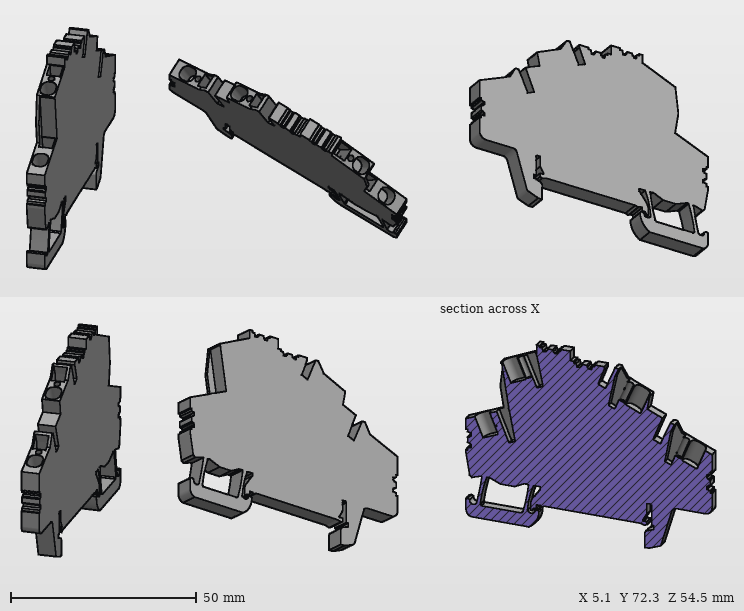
import cadquery as cq
import math

LENGTH = 72.35
WIDTH = 5.1
X_MIN = -WIDTH / 2
X_MAX = WIDTH / 2
Y_END = LENGTH / 2

LABEL_TOP = 54.5
SHELF_TOP = 51.65
SIDE_COMB_Z = 22.7
RAIL_SEAT_Z = 6.95
BODY_BOTTOM = 13.2
BOTTOM_CORNER_RADIUS = 2.1

COMB_HALF = 3.05
COMB_STEP = 0.5
GROOVE_DEPTH = 1.5
GROOVE_MOUTH = (0.8, 2.3)
GROOVE_FLOOR = (1.4, 2.1)
GROOVE_BEVEL = 0.4
GROOVE_RELIEF_LENGTH = 0.4
GROOVE_RELIEF_BEVEL = 0.2
GROOVE_RELIEF_DEPTH = 0.1

UPPER_COMB = ((-11.35, LABEL_TOP), (0, -1), (1, 0))
LOWER_COMB = ((-1.4, SHELF_TOP), (0, -1), (1, 0))
LEFT_COMB = ((Y_END, SIDE_COMB_Z), (-1, 0), (0, 1))
RIGHT_COMB = ((-Y_END, SIDE_COMB_Z), (1, 0), (0, 1))
COMBS = (UPPER_COMB, LOWER_COMB, LEFT_COMB, RIGHT_COMB)

LEFT_LOW_SLOPE = ((Y_END, 31.2), (26.55, 35.15))
LEFT_HIGH_SLOPE = ((17.95, 45.35), (10.5, 48.6))
RIGHT_HIGH_SLOPE = ((-25.8, 47.5), (-15.4, 52.0))
RIGHT_LOW_SLOPE = ((-Y_END, 28.95), (-25.75, 33.3))

LOW_RIDGE_TOP = (24.8, 38.3)
HIGH_RIDGE_TOP = (8.55, 51.8)
RIDGE_RADIUS = 0.6

FUNNEL_WIDTH = 4.2
FUNNEL_LENGTH = 4.6
FUNNEL_CORNER = 1.75
FUNNEL_DEPTH = 6.4
TEST_HOLE_OFFSET = 3.55
TEST_HOLE_DIAMETER = 1.7
TEST_HOLE_DEPTH = 6.15
POCKET_START = 4.6
POCKET_END = 8.25
POCKET_X_MIN = -1.7
POCKET_X_MAX = 2.1
POCKET_MOUTH = 0.7
POCKET_DEPTH = 9.4
POCKET_TAPER = 11.5
POCKET_RISE = 3.6

PORTS = (
    (LEFT_LOW_SLOPE, 31.9, True, True),
    (LEFT_HIGH_SLOPE, 15.5, True, True),
    (RIGHT_HIGH_SLOPE, -23.2, True, False),
    (RIGHT_LOW_SLOPE, -31.3, False, False),
)

RECESS_X_MIN = POCKET_X_MIN
RECESS_TOP = (-25.7, 47.2)
RECESS_FOOT_Y = -23.6
RECESS_OUTSIDE_Y = -27.5


def prism(workplane, x_min, x_max):
    """Extrude a closed YZ outline, drawn on the plane X = 0, from x_min to x_max."""
    return workplane.extrude(x_max - x_min).translate((x_min, 0, 0))


def polygon(points, x_min=X_MIN, x_max=X_MAX):
    return prism(cq.Workplane("YZ").polyline(points).close(), x_min, x_max)


def upper_outline():
    """Body above the rail: ridges, slots, marking blocks and port slopes."""
    points = [
        (Y_END, BODY_BOTTOM),
        *LEFT_LOW_SLOPE,
        LOW_RIDGE_TOP, (23.8, 38.3),
        (20.9, 31.75), (18.9, 32.6),
        (21.6, 39.4), (17.15, 41.3),
        *LEFT_HIGH_SLOPE,
        HIGH_RIDGE_TOP, (7.6, 51.8),
        (4.8, 45.3), (2.75, 46.15),
        (4.55, 50.8), (4.55, SHELF_TOP),
        (-5.4, SHELF_TOP), (-5.4, LABEL_TOP),
        (-15.4, LABEL_TOP),
        *reversed(RIGHT_HIGH_SLOPE),
        (-26.8, 39.6),
        *reversed(RIGHT_LOW_SLOPE),
        (-Y_END, 18.75), (-35.1, 12.3),
        (-34.4, 11.7), (-32.0, 12.45),
        (-29.5, 12.65), (-25.9, 11.2), (-21.85, 11.2), (-19.25, 12.45),
        (-16.2, BODY_BOTTOM),
    ]
    body = polygon(points)
    body = body.edges("|X").edges(">Y").edges("<Z").fillet(BOTTOM_CORNER_RADIUS)
    for y, z in (LOW_RIDGE_TOP, HIGH_RIDGE_TOP):
        body = body.edges(cq.NearestToPointSelector((0, y, z))).fillet(RIDGE_RADIUS)
    return body


def rail_block():
    """Middle part that sits on the rail, with a small lip on the left and a tongue on the right."""
    outline = (
        cq.Workplane("YZ")
        .moveTo(17.0, BODY_BOTTOM)
        .lineTo(17.0, 10.05)
        .lineTo(15.85, 8.1)
        .lineTo(16.1, 7.9)
        .lineTo(17.0, 7.9)
        .lineTo(17.0, 6.9)
        .lineTo(16.35, 6.6)
        .lineTo(15.1, RAIL_SEAT_Z)
        .lineTo(-13.1, RAIL_SEAT_Z)
        .lineTo(-13.95, 6.6)
        .lineTo(-14.4, RAIL_SEAT_Z)
        .lineTo(-15.35, RAIL_SEAT_Z)
        .lineTo(-15.35, 5.9)
        .lineTo(-16.3, 5.85)
        .lineTo(-16.65, 5.1)
        .lineTo(-17.2, 5.1)
        .lineTo(-17.2, 7.0)
        .threePointArc((-16.9, 8.25), (-16.35, 9.2))
        .lineTo(-14.4, 11.8)
        .lineTo(-14.4, BODY_BOTTOM)
        .close()
    )
    return prism(outline, X_MIN, X_MAX)


def fixed_foot():
    """Rigid hook on the +Y side; the slot beside it ends in rounded corners."""
    outline = (
        cq.Workplane("YZ")
        .moveTo(25.5, BODY_BOTTOM)
        .threePointArc((24.8, 12.9), (24.4, 12.3))
        .lineTo(21.3, 1.9)
        .threePointArc((21.05, 1.45), (20.7, 1.15))
        .lineTo(17.65, 0)
        .lineTo(16.35, 0)
        .lineTo(16.35, 4.05)
        .threePointArc((16.5, 4.8), (17.0, 5.2))
        .lineTo(18.95, 5.9)
        .lineTo(18.95, RAIL_SEAT_Z)
        .lineTo(18.3, RAIL_SEAT_Z)
        .lineTo(18.3, 12.8)
        .lineTo(17.95, BODY_BOTTOM)
        .close()
    )
    return prism(outline, X_MIN, X_MAX)


def leg(inner_flank, outer_flank):
    """Spring leg between two flanks, each an arc given as its top, middle and bottom point."""
    inner_top, inner_middle, inner_bottom = inner_flank
    outer_top, outer_middle, outer_bottom = outer_flank
    outline = (
        cq.Workplane("YZ")
        .moveTo(*inner_top)
        .threePointArc(inner_middle, inner_bottom)
        .lineTo(*outer_bottom)
        .threePointArc(outer_middle, outer_top)
        .close()
    )
    return prism(outline, X_MIN, X_MAX)


def spring_foot():
    """Sprung latch on the -Y side: a hooked bar hanging from two thin legs."""
    outline = (
        cq.Workplane("YZ")
        .moveTo(-14.6, 5.2)
        .threePointArc((-15.4, 2.25), (-17.65, 0))
        .lineTo(-34.6, 0)
        .threePointArc((-35.75, 0.8), (-Y_END, 2.0))
        .lineTo(-Y_END, 5.2)
        .lineTo(-35.6, 5.4)
        .lineTo(-34.95, 5.15)
        .threePointArc((-33.85, 3.9), (-32.9, 5.1))
        .lineTo(-31.9, 4.4)
        .lineTo(-31.55, 3.9)
        .lineTo(-19.8, 3.9)
        .lineTo(-19.45, 4.3)
        .lineTo(-18.0, 5.1)
        .threePointArc((-16.9, 4.35), (-15.9, 5.1))
        .lineTo(-15.8, 5.6)
        .lineTo(-15.0, 5.6)
        .close()
    )
    bar = prism(outline, X_MIN, X_MAX)
    inner_leg = leg(
        ((-16.2, 12.6), (-17.45, 8.8), (-18.0, 4.6)),
        ((-17.8, 12.6), (-18.4, 8.8), (-19.45, 4.3)),
    )
    outer_leg = leg(
        ((-29.95, 12.6), (-31.05, 8.8), (-31.9, 3.8)),
        ((-31.5, 12.6), (-32.1, 8.8), (-33.15, 4.2)),
    )
    return bar.union(inner_leg).union(outer_leg)


def leg_roots():
    """Material that closes the body above the legs and the tongue slot."""
    inner_root = polygon([(-14.4, 13.75), (-14.4, 12.5), (-18.5, 12.5), (-19.25, 13.75)])
    outer_root = polygon([(-29.5, 13.75), (-29.5, 12.6), (-32.0, 12.45), (-32.0, 13.75)])
    return inner_root.union(outer_root)


def comb_points(comb, offsets):
    """Turn (along, depth) offsets of a comb into (y, z) points."""
    (y, z), inward, along = comb
    return [
        (y + u * along[0] + d * inward[0], z + u * along[1] + d * inward[1])
        for u, d in offsets
    ]


def comb_cutter(comb):
    """Step and two grooves across the full width."""
    half_profile = [
        (GROOVE_MOUTH[0], COMB_STEP),
        (GROOVE_FLOOR[0] - GROOVE_BEVEL, GROOVE_DEPTH - GROOVE_BEVEL),
        (GROOVE_FLOOR[0], GROOVE_DEPTH),
        (GROOVE_FLOOR[1], GROOVE_DEPTH),
        (GROOVE_MOUTH[1], COMB_STEP),
        (COMB_HALF, COMB_STEP),
        (COMB_HALF, 0),
    ]
    mirrored = [(-u, d) for u, d in reversed(half_profile)]
    return polygon(comb_points(comb, mirrored + half_profile))


def groove_relief(comb, side):
    """Shallow bevelled sink in one groove floor, open to the -X face."""
    (y, z), inward, along = comb
    start, end = GROOVE_FLOOR
    middle = side * (start + end) / 2
    centre = (
        0,
        y + middle * along[0] + GROOVE_DEPTH * inward[0],
        z + middle * along[1] + GROOVE_DEPTH * inward[1],
    )
    plane = cq.Plane(origin=centre, xDir=(1, 0, 0), normal=(0, along[0], along[1]))
    down = -1 if plane.yDir.dot(cq.Vector(0, *inward)) < 0 else 1
    inner_x = X_MIN + GROOVE_RELIEF_LENGTH
    sink = down * GROOVE_RELIEF_DEPTH
    profile = [(X_MIN, 0), (inner_x, 0), (inner_x - GROOVE_RELIEF_BEVEL, sink), (X_MIN, sink)]
    return cq.Workplane(plane).polyline(profile).close().extrude((end - start) / 2, both=True)


def slope_plane(slope, y):
    """Plane on a port slope at the given y, with the uphill and outward unit vectors."""
    (low_y, low_z), (high_y, high_z) = slope
    z = low_z + (high_z - low_z) * (y - low_y) / (high_y - low_y)
    uphill = cq.Vector(0, high_y - low_y, high_z - low_z).normalized()
    across = cq.Vector(1, 0, 0)
    normal = across.cross(uphill)
    if normal.z < 0:
        normal = normal * -1
    plane = cq.Plane(origin=(0, y, z), xDir=across.toTuple(), normal=normal.toTuple())
    return plane, uphill, normal


def funnel_cutter(plane):
    """Rounded rectangular conductor entry, sunk at right angles to the slope."""
    entry = cq.Workplane(plane).rect(FUNNEL_WIDTH, FUNNEL_LENGTH).extrude(-FUNNEL_DEPTH)
    corners = entry.edges(cq.selectors.ParallelDirSelector(plane.zDir))
    return corners.fillet(FUNNEL_CORNER)


def test_hole_cutter(plane, uphill):
    centre = plane.origin + uphill * TEST_HOLE_OFFSET
    hole_plane = cq.Plane(origin=centre.toTuple(), xDir=(1, 0, 0), normal=plane.zDir.toTuple())
    return cq.Workplane(hole_plane).circle(TEST_HOLE_DIAMETER / 2).extrude(-TEST_HOLE_DEPTH)


def pocket_cutter(plane, uphill, normal, rise):
    """Screwdriver pocket whose upper wall tapers in below a straight mouth."""
    taper = (POCKET_DEPTH - POCKET_MOUTH) * math.tan(math.radians(POCKET_TAPER))
    profile = [
        (POCKET_START, rise),
        (POCKET_END, rise),
        (POCKET_END, -POCKET_MOUTH),
        (POCKET_END - taper, -POCKET_DEPTH),
        (POCKET_START, -POCKET_DEPTH),
    ]
    corners = [plane.origin + uphill * s + normal * h for s, h in profile]
    return polygon([(p.y, p.z) for p in corners], POCKET_X_MIN, POCKET_X_MAX)


def end_recess_cutter():
    """Notch in the -Y end, open to the +X face, its floor in line with the lower slope."""
    (low_y, low_z), (high_y, high_z) = RIGHT_LOW_SLOPE
    rise = (high_z - low_z) / (high_y - low_y)
    foot_z = low_z + rise * (RECESS_FOOT_Y - low_y)
    outer_z = low_z + rise * (RECESS_OUTSIDE_Y - low_y)
    outline = [
        RECESS_TOP,
        (RECESS_FOOT_Y, foot_z),
        (RECESS_OUTSIDE_Y, outer_z),
        (RECESS_OUTSIDE_Y, RECESS_TOP[1]),
    ]
    return polygon(outline, RECESS_X_MIN, X_MAX)


def build_housing():
    body = upper_outline()
    for part in (rail_block(), fixed_foot(), leg_roots(), spring_foot()):
        body = body.union(part)
    for comb in COMBS:
        body = body.cut(comb_cutter(comb))
        for side in (-1, 1):
            body = body.cut(groove_relief(comb, side))
    body = body.cut(end_recess_cutter())
    for slope, funnel_y, has_test_hole, has_ridge in PORTS:
        plane, uphill, normal = slope_plane(slope, funnel_y)
        rise = POCKET_RISE if has_ridge else 0
        body = body.cut(funnel_cutter(plane))
        body = body.cut(pocket_cutter(plane, uphill, normal, rise))
        if has_test_hole:
            body = body.cut(test_hole_cutter(plane, uphill))
    return body


housing = build_housing()
result = cq.Compound.makeCompound([housing.val()])